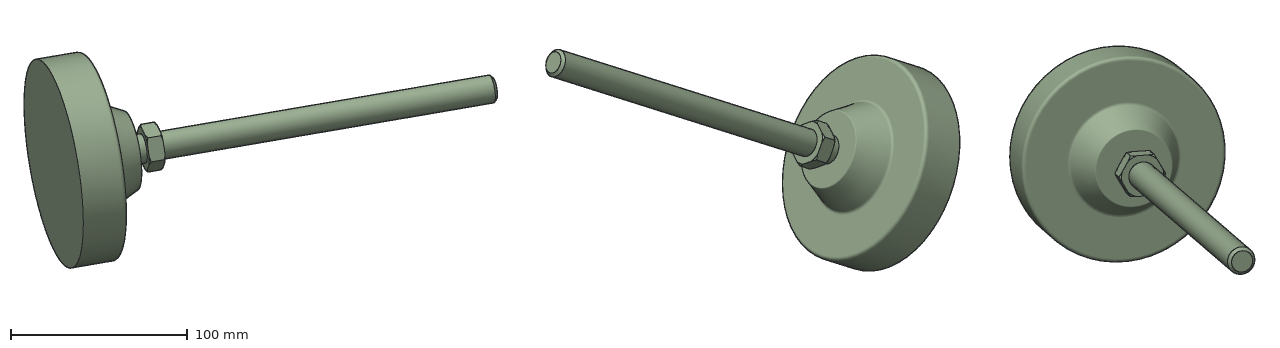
import cadquery as cq
import math

total_length = 260.0

base_diameter = 120.0
base_height = 26.0
base_edge_radius = 2.0
hub_top_height = 45.5
hub_top_diameter = 45.5
hub_bottom_diameter = 64.7
hub_top_radius = 0.8
hub_root_radius = 2.0

neck_diameter = 17.0
rod_diameter = 16.0
rod_tip_chamfer = 1.8
hex_start = 52.8
hex_height = 9.4
hex_across_flats = 24.0
hex_corner_bevel = 0.8
hex_bevel_angle = math.radians(30)

hex_across_corners = hex_across_flats / math.cos(math.pi / 6)
hex_end = hex_start + hex_height


def cylinder(diameter, start, end):
    """Round bar about the Y axis between two heights."""
    plane = cq.Plane(origin=(0, start, 0), xDir=(1, 0, 0), normal=(0, 1, 0))
    return cq.Workplane(plane).circle(diameter / 2).extrude(end - start)


def revolve_about_y(profile):
    return profile.close().revolve(360, (0, 0, 0), (0, 1, 0))


def make_foot():
    """Disc with a rounded upper rim, carrying a filleted conical hub."""
    disc = cylinder(base_diameter, 0, base_height)

    hub = revolve_about_y(
        cq.Workplane("XY")
        .moveTo(0, base_height)
        .lineTo(hub_bottom_diameter / 2, base_height)
        .lineTo(hub_top_diameter / 2, hub_top_height)
        .lineTo(0, hub_top_height)
    )
    foot = disc.union(hub)

    hub_root = cq.selectors.RadiusNthSelector(1)
    disc_rims = cq.selectors.RadiusNthSelector(-1)
    foot = foot.edges(hub_root).fillet(hub_root_radius)
    foot = foot.edges(disc_rims).edges(">Y").fillet(base_edge_radius)
    return foot.faces(">Y").edges().fillet(hub_top_radius)


def make_hexagon():
    """Wrench hexagon with corners on the X axis, bevelled at both ends."""
    plane = cq.Plane(origin=(0, hex_start, 0), xDir=(1, 0, 0), normal=(0, 1, 0))
    prism = cq.Workplane(plane).polygon(6, hex_across_corners).extrude(hex_height)

    corner_radius = hex_across_corners / 2
    end_radius = corner_radius - hex_corner_bevel / math.tan(hex_bevel_angle)
    bevel_envelope = revolve_about_y(
        cq.Workplane("XY")
        .moveTo(0, hex_start)
        .lineTo(end_radius, hex_start)
        .lineTo(corner_radius, hex_start + hex_corner_bevel)
        .lineTo(corner_radius, hex_end - hex_corner_bevel)
        .lineTo(end_radius, hex_end)
        .lineTo(0, hex_end)
    )
    return prism.intersect(bevel_envelope)


def make_stud():
    """Neck resting on the hub, wrench hexagon and long rod in one piece."""
    neck = cylinder(neck_diameter, hub_top_height, hex_start)
    rod = cylinder(rod_diameter, hex_end, total_length).faces(">Y").edges().chamfer(rod_tip_chamfer)
    return neck.union(make_hexagon()).union(rod)


foot = make_foot()
stud = make_stud()

result = cq.Compound.makeCompound([foot.val(), stud.val()])